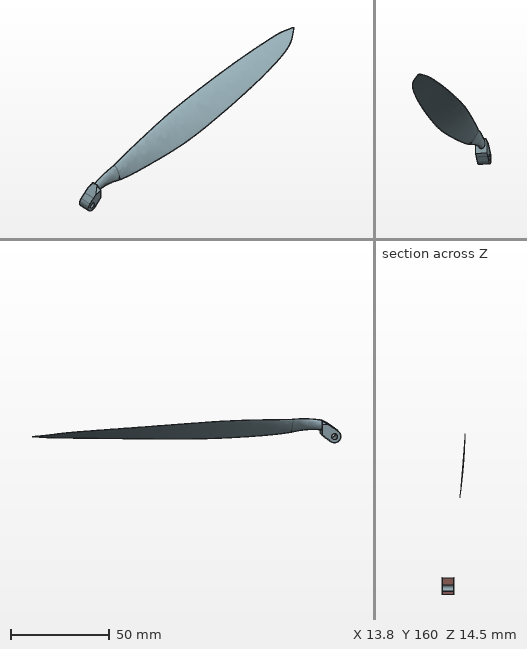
import cadquery as cq
import math


total_length = 160.0

pin_diameter = 3.0
lug_radius = 3.25
lug_width = 6.0
lug_tilt = 37.0
arm_length = 3.5
lug_front_y = 6.4
lug_front_top_z = 8.4
lug_front_bottom_z = 0.9

crown_left_x = -2.4
crown_right_x = 0.4
left_corner_z = 6.6
right_corner_z = 6.0

tip_y = total_length - lug_radius
root_y = 21.4
shank_overlap = 0.1

leading_exponent = 0.5
blade_trailing_exponent = 1.0
middle_trailing_exponent = 0.7
shank_trailing_exponent = 0.5
points_per_side = 9

blade_stations = [
    (0.0, (-0.58, 7.25), (-0.38, 7.15), 0.03, 0.02),
    (2.0, (-1.15, 7.55), (0.95, 6.75), 0.15, 0.05),
    (5.0, (-2.00, 7.80), (2.85, 5.90), 0.30, 0.10),
    (10.0, (-2.85, 8.30), (5.00, 4.90), 0.50, 0.15),
    (20.0, (-3.50, 9.00), (6.85, 3.80), 0.75, 0.20),
    (40.0, (-4.55, 9.75), (8.35, 2.25), 1.05, 0.25),
    (70.0, (-4.98, 10.60), (8.80, 0.40), 1.30, 0.30),
    (95.0, (-4.36, 11.08), (7.80, -0.40), 1.40, 0.35),
    (115.0, (-3.15, 10.65), (5.50, 0.20), 1.40, 0.40),
]
root_station = (tip_y - root_y, (-1.60, 9.70), (2.60, 2.10), 1.30, 0.60)

shank_middle_y = (root_y + lug_front_y) / 2
shank_end_y = lug_front_y - shank_overlap
shank_middle_station = (tip_y - shank_middle_y, (-1.30, 9.60), (0.90, 3.40), 1.45, 1.15)
shank_end_station = (tip_y - shank_end_y, (-0.60, 8.40), (0.00, 3.20), 1.70, 1.70)


def blade_section(station, trailing_exponent):
    """Closed wire in a plane across Y: round leading edge, upper and lower bulge."""
    tip_distance, leading, trailing, depth_above, depth_below = station
    chord_x = trailing[0] - leading[0]
    chord_z = trailing[1] - leading[1]
    chord = math.hypot(chord_x, chord_z)

    def bulge_shape(along):
        return along ** leading_exponent * (1 - along) ** trailing_exponent

    peak_value = bulge_shape(leading_exponent / (leading_exponent + trailing_exponent))

    def surface_point(angle):
        along = (1 + math.cos(angle)) / 2
        bulge = bulge_shape(along) / peak_value
        depth = depth_above if angle <= math.pi else -depth_below
        x = leading[0] + along * chord_x - depth * bulge * chord_z / chord
        z = leading[1] + along * chord_z + depth * bulge * chord_x / chord
        return cq.Vector(x, tip_y - tip_distance, z)

    count = 2 * points_per_side
    points = [surface_point(2 * math.pi * i / count) for i in range(count)]
    points.append(points[0])
    parameters = [i / count for i in range(count + 1)]
    outline = cq.Edge.makeSpline(points, parameters=parameters)
    return cq.Wire.assembleEdges([outline])


def loft_sections(sections):
    """Smooth capped loft that keeps each section's own start point, so it does not twist."""
    solid = cq.occ_impl.shapes.loft(sections, cap=True, compat=False)
    return cq.Workplane(obj=solid)


def make_blade():
    stations = blade_stations + [root_station]
    sections = [blade_section(station, blade_trailing_exponent) for station in stations]
    return loft_sections(sections)


def make_shank():
    sections = [
        blade_section(root_station, blade_trailing_exponent),
        blade_section(shank_middle_station, middle_trailing_exponent),
        blade_section(shank_end_station, shank_trailing_exponent),
    ]
    return loft_sections(sections)


def make_lug():
    tilt = math.radians(lug_tilt)
    along = cq.Vector(math.cos(tilt), math.sin(tilt))
    across = cq.Vector(-math.sin(tilt), math.cos(tilt)) * lug_radius
    bend = along * arm_length
    side = (
        cq.Workplane("YZ", origin=(-lug_width / 2, 0, 0))
        .moveTo(across.x, across.y)
        .lineTo((bend + across).x, (bend + across).y)
        .tangentArcPoint((lug_front_y, lug_front_top_z), relative=False)
        .lineTo(lug_front_y, lug_front_bottom_z)
        .lineTo((bend - across).x, (bend - across).y)
        .lineTo(-across.x, -across.y)
        .threePointArc((-along * lug_radius).toTuple()[:2], (across.x, across.y))
        .close()
        .extrude(lug_width)
    )
    crown = (
        cq.Workplane("XZ", origin=(0, lug_front_y, 0))
        .moveTo(-lug_width / 2, -lug_radius)
        .lineTo(-lug_width / 2, left_corner_z)
        .lineTo(crown_left_x, lug_front_top_z)
        .lineTo(crown_right_x, lug_front_top_z)
        .lineTo(lug_width / 2, right_corner_z)
        .lineTo(lug_width / 2, -lug_radius)
        .close()
        .extrude(lug_front_y + lug_radius)
    )
    pin_hole = (
        cq.Workplane("YZ", origin=(-lug_width / 2, 0, 0))
        .circle(pin_diameter / 2)
        .extrude(lug_width)
    )
    return side.intersect(crown).cut(pin_hole)


result = make_lug().union(make_shank()).union(make_blade())